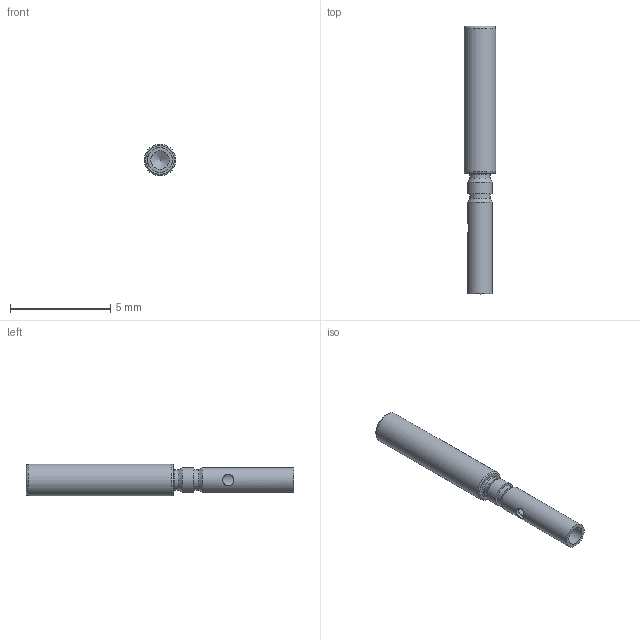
import cadquery as cq
import math


body_diameter = 1.57
barrel_diameter = 1.24
groove_diameter = 1.0
bore_diameter = 0.92
inspection_hole_diameter = 0.56

overall_length = 13.36
inspection_hole_y = 3.28
barrel_end_y = 4.57
collar_start_y = 5.0
collar_end_y = 5.58
body_start_y = 6.02

taper_length = 0.19
neck_fillet = 0.07
body_front_fillet = 0.07
body_rear_fillet = 0.13

bore_depth = 4.0
drill_point_angle = 118.0

body_radius = body_diameter / 2
barrel_radius = barrel_diameter / 2
groove_radius = groove_diameter / 2
bore_radius = bore_diameter / 2


def revolve_about_y(profile):
    """Close an XY profile and revolve it a full turn about the Y axis."""
    return profile.close().revolve(360, (0, 0, 0), (0, 1, 0))


def make_turned_body():
    """Barrel, groove, collar, neck and main body as one turned solid."""
    profile = (
        cq.Workplane("XY")
        .lineTo(barrel_radius, 0)
        .lineTo(barrel_radius, barrel_end_y)
        .lineTo(groove_radius, barrel_end_y + taper_length)
        .lineTo(groove_radius, collar_start_y)
        .lineTo(barrel_radius, collar_start_y)
        .lineTo(barrel_radius, collar_end_y)
        .lineTo(groove_radius, collar_end_y + taper_length)
        .lineTo(groove_radius, body_start_y - neck_fillet)
        .tangentArcPoint((neck_fillet, neck_fillet))
        .lineTo(body_radius - body_front_fillet, body_start_y)
        .tangentArcPoint((body_front_fillet, body_front_fillet))
        .lineTo(body_radius, overall_length - body_rear_fillet)
        .tangentArcPoint((-body_rear_fillet, body_rear_fillet))
        .lineTo(0, overall_length)
    )
    return revolve_about_y(profile)


def make_bore():
    """Blind crimp bore ending in a drill point."""
    point_depth = bore_radius / math.tan(math.radians(drill_point_angle / 2))
    profile = (
        cq.Workplane("XY")
        .lineTo(bore_radius, 0)
        .lineTo(bore_radius, bore_depth)
        .lineTo(0, bore_depth + point_depth)
    )
    return revolve_about_y(profile)


def make_inspection_hole():
    """Round hole from the -X side through one wall into the bore."""
    return (
        cq.Workplane("YZ")
        .center(inspection_hole_y, 0)
        .circle(inspection_hole_diameter / 2)
        .extrude(-barrel_radius)
    )


result = make_turned_body().cut(make_bore()).cut(make_inspection_hole())